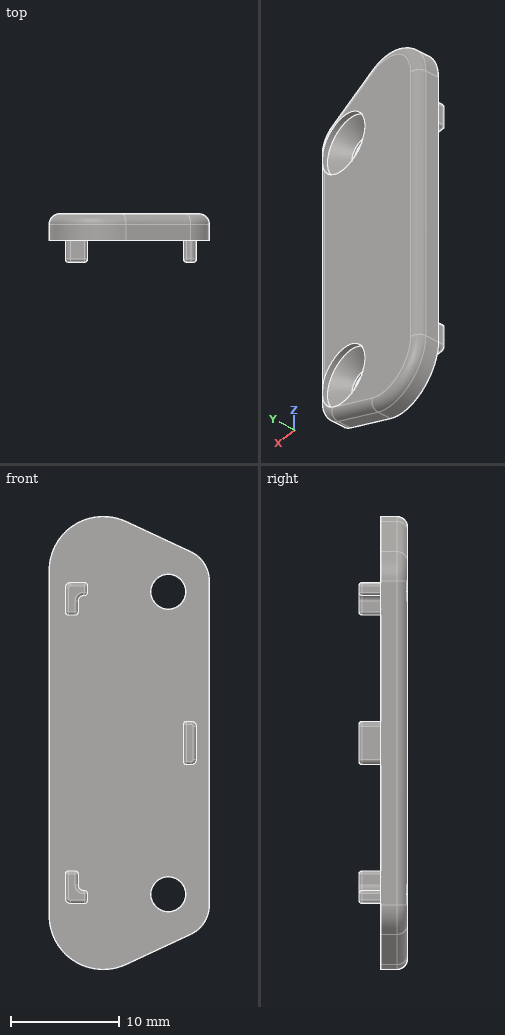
import cadquery as cq
import math

plate_width = 14.8
plate_height = 41.8
plate_thickness = 2.5
back_edge_radius = 1.0
large_corner_radius = 5.0
small_corner_radius = 3.0
end_slope = math.radians(25)

hole_diameter = 3.2
hole_land = 0.25
head_diameter = 6.4
countersink_half_angle = math.radians(45)
hole_x = 3.6
hole_z = 13.95

peg_height = 2.0
peg_edge_radius = 0.3
peg_corner_radius = 0.3
peg_outer_corner_radius = 0.5

angle_peg_width = 2.05
angle_peg_length = 3.0
angle_peg_wall = 1.2
angle_peg_inner_radius = 0.5
angle_peg_left = -5.9
angle_peg_top = 14.8

bar_peg_width = 1.2
bar_peg_length = 4.0
bar_peg_x = 5.6


def make_plate():
    """Plate whose sloped ends are tangent to a large and a small corner arc."""
    left = -plate_width / 2
    right = plate_width / 2
    normal_x = math.sin(end_slope)
    normal_z = math.cos(end_slope)

    large_x = left + large_corner_radius
    large_z = plate_height / 2 - large_corner_radius
    small_x = right - small_corner_radius
    radius_drop = large_corner_radius - small_corner_radius
    small_z = large_z + (radius_drop - (small_x - large_x) * normal_x) / normal_z

    def on_arc(center_x, center_z, radius, angle):
        return (center_x + radius * math.cos(angle), center_z + radius * math.sin(angle))

    slope_angle = math.pi / 2 - end_slope
    large_mid_angle = (math.pi + slope_angle) / 2
    large_mid = on_arc(large_x, large_z, large_corner_radius, large_mid_angle)
    large_end = on_arc(large_x, large_z, large_corner_radius, slope_angle)
    small_start = on_arc(small_x, small_z, small_corner_radius, slope_angle)
    small_mid = on_arc(small_x, small_z, small_corner_radius, slope_angle / 2)

    def mirrored(point):
        return (point[0], -point[1])

    outline = (
        cq.Workplane("XZ")
        .moveTo(left, -large_z)
        .lineTo(left, large_z)
        .threePointArc(large_mid, large_end)
        .lineTo(*small_start)
        .threePointArc(small_mid, (right, small_z))
        .lineTo(right, -small_z)
        .threePointArc(mirrored(small_mid), mirrored(small_start))
        .lineTo(*mirrored(large_end))
        .threePointArc(mirrored(large_mid), (left, -large_z))
        .close()
    )
    return outline.extrude(-plate_thickness).faces(">Y").edges().fillet(back_edge_radius)


def make_screw_hole(center_z):
    """Countersunk through hole, widening toward the back face, as a solid of revolution."""
    hole_radius = hole_diameter / 2
    head_radius = head_diameter / 2
    cone_depth = (head_radius - hole_radius) / math.tan(countersink_half_angle)
    cone_end = hole_land + cone_depth
    profile = (
        cq.Workplane("XY")
        .polyline([
            (0, 0),
            (hole_radius, 0),
            (hole_radius, hole_land),
            (head_radius, cone_end),
            (head_radius, plate_thickness),
            (0, plate_thickness),
        ])
        .close()
    )
    return profile.revolve(360, (0, 0), (0, 1)).translate((hole_x, 0, center_z))


def upright_edge(x, z):
    """Selector for the peg edge parallel to Y that is nearest to (x, z)."""
    return cq.selectors.NearestToPointSelector((x, -peg_height / 2, z))


def make_angle_peg():
    """Upper L-shaped peg: a leg down the left side and an arm along the top."""
    left = angle_peg_left
    right = left + angle_peg_width
    leg_right = left + angle_peg_wall
    top = angle_peg_top
    arm_bottom = top - angle_peg_wall
    bottom = top - angle_peg_length

    peg = (
        cq.Workplane("XZ")
        .polyline([
            (left, top),
            (right, top),
            (right, arm_bottom),
            (leg_right, arm_bottom),
            (leg_right, bottom),
            (left, bottom),
        ])
        .close()
        .extrude(peg_height)
    )
    peg = peg.edges(upright_edge(leg_right, arm_bottom)).fillet(angle_peg_inner_radius)
    peg = peg.edges(upright_edge(left, top)).fillet(peg_outer_corner_radius)
    for corner in [(right, top), (right, arm_bottom), (leg_right, bottom), (left, bottom)]:
        peg = peg.edges(upright_edge(*corner)).fillet(peg_corner_radius)
    return peg.faces("<Y").edges().fillet(peg_edge_radius)


def make_bar_peg():
    """Straight peg at mid-height, more rounded on its outer side."""
    peg = (
        cq.Workplane("XZ")
        .center(bar_peg_x, 0)
        .rect(bar_peg_width, bar_peg_length)
        .extrude(peg_height)
    )
    peg = peg.edges("|Y and >X").fillet(peg_outer_corner_radius)
    peg = peg.edges("|Y and <X").fillet(peg_corner_radius)
    return peg.faces("<Y").edges().fillet(peg_edge_radius)


angle_peg = make_angle_peg()

result = (
    make_plate()
    .cut(make_screw_hole(hole_z))
    .cut(make_screw_hole(-hole_z))
    .union(angle_peg)
    .union(angle_peg.mirror("XY"))
    .union(make_bar_peg())
)